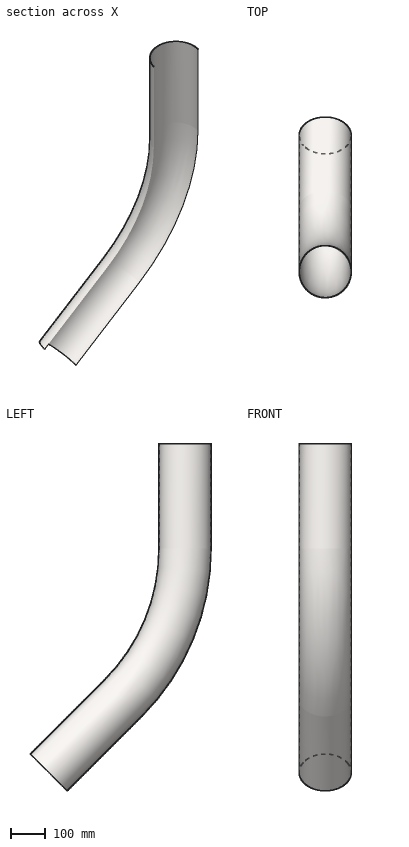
import cadquery as cq
import math

overall_height = 1005.0
outer_diameter = 153.0
inner_diameter = 149.0
straight_length = 305.0
bend_angle = 45.0

outer_radius = outer_diameter / 2
sin_bend = math.sin(math.radians(bend_angle))
cos_bend = math.cos(math.radians(bend_angle))
straights_height = straight_length * (1 + cos_bend)
rim_height = outer_radius * sin_bend
bend_radius = (overall_height - straights_height - rim_height) / sin_bend


def point_on_bend(angle):
    """Centreline point (Y, Z) after turning by angle; the bend starts at the origin."""
    turn = math.radians(angle)
    return (bend_radius * (1 - math.cos(turn)), -bend_radius * math.sin(turn))


bend_end_y, bend_end_z = point_on_bend(bend_angle)
lower_end = (
    bend_end_y + straight_length * sin_bend,
    bend_end_z - straight_length * cos_bend,
)
centreline = (
    cq.Workplane("YZ")
    .moveTo(0, straight_length)
    .lineTo(0, 0)
    .threePointArc(point_on_bend(bend_angle / 2), (bend_end_y, bend_end_z))
    .lineTo(*lower_end)
)

result = (
    cq.Workplane("XY")
    .workplane(offset=straight_length)
    .circle(outer_radius)
    .circle(inner_diameter / 2)
    .sweep(centreline)
)